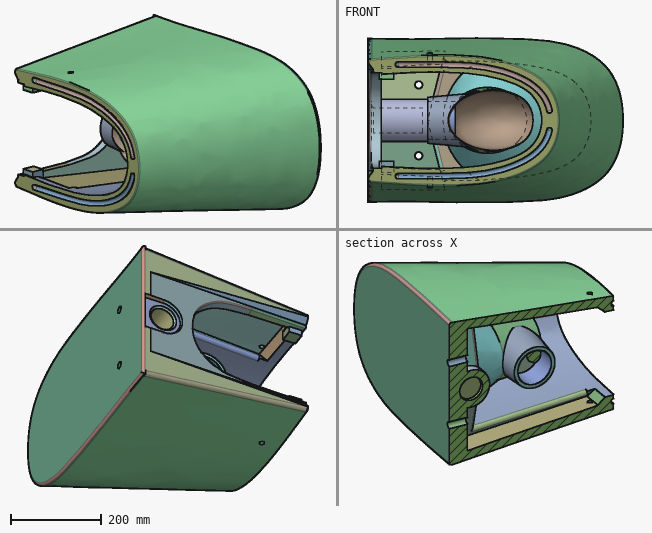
import cadquery as cq
import math


HEIGHT = 412.0
LENGTH = 564.7
HALF_WIDTH = 363.77 / 2
RIM_BAND = 8.0
RIM_ROUND = 6.0
FOOT_ROUND = 3.0
BACK_EDGE_ROUND = 9.0
SIDE_SWELL = 0.35
FOOT_LENGTH = 422.6
FOOT_HALF_WIDTH = 144.4
FOOT_HALF_OUTLINE = [(0, 136), (140, FOOT_HALF_WIDTH), (212, 143.5), (341, 116.5), (400, 74), (FOOT_LENGTH, 0)]
TOP_HALF_OUTLINE = [(0, 181), (190, HALF_WIDTH - SIDE_SWELL), (341, 180), (449, 165), (529, 116), (LENGTH, 0)]

LIP_WIDTH = 38.0
LIP_HEIGHT = 22.0
LIP_SLOPE_TOP = 40.0
GROOVE_INSET = 21.0
GROOVE_RADIUS = 6.0
GROOVE_START_X = 67.0
GROOVE_END_GAP = 22.0

FRONT_WALL = 42.0
REAR_WALL = 24.0
BACK_WALL = 30.0
FRONT_CHAMBER_TOP = 321.0
REAR_CHAMBER_TOP = 366.0
STEP_X = 132.0
STEP_SLOPE = 0.25
STEP_ROUND = 8.0
STEP_EDGE_LOW_Z = 110.0
STEP_EDGE_HIGH_Z = 130.0

OPENING_HALF_WIDTH = 105.5
OPENING_STRAIGHT_TOP = 136.0
OPENING_TOP = 285.0
OPENING_CURVE = [(183, 102), (219, 94), (247, 78), (270, 55)]
OPENING_ROUND = 3.0
RELIEF_TOP = 392.0
RELIEF_DEPTH = 12.0
RELIEF_HALF_WIDTH = 112.0
RELIEF_FLARE = 16.0
INLET_Y = 357.0
INLET_RADIUS = 28.0
INLET_MOUTH_RADIUS = 33.0
INLET_MOUTH_CHAMFER = 4.0
INLET_DEPTH = 120.0
INLET_PIPE_RADIUS = 47.0
INLET_POCKET_HALF_WIDTH = 46.5
INLET_POCKET_TAPER = 27.0
INLET_POCKET_TOP = 405.0
INLET_POCKET_DEPTH = 8.0

OUTLET_X = 133.0
OUTLET_Y = 187.0
OUTLET_BORE_RADIUS = 42.0
OUTLET_BORE_DEPTH = 60.0
OUTLET_RADIUS = 51.0
PIPE_END_RADIUS = 65.0
PIPE_END_X = 285.0
SUMP_CENTRE = (280.0, 118.0, 0.0)
SUMP_RADII = (103.0, 110.0, 67.0)
NECK_X = 265.0
NECK_Y = 240.0
NECK_FIT = 0.97
NECK_RADII = (86.0, 73.0)
BOWL_X = 332.0
BOWL_RADII = (166.0, 155.0)

SEAT_HOLE_X = 112.6
SEAT_HOLE_Z = 78.3
SEAT_HOLE_DIAMETER = 16.0
SIDE_HOLE_X = 137.5
SIDE_HOLE_Y = 46.0
SIDE_HOLE_DIAMETER = 11.0
TAB_START_X = 25.0
TAB_LENGTH = 32.0
TAB_INNER_Z = 91.0
TAB_OUTER_Z = 115.0
TAB_BOTTOM = 4.0
TAB_TOP = 35.0

OVERLAP = 1.0
SIDES = (1, -1)


def level(y):
    """Horizontal plane at height y, with local axes X and Z."""
    return cq.Workplane("XZ", origin=(0, y, 0))


def half_outline(y, inset=0.0):
    """Half outline of the shell at height y, shrunk by the inset at the front and the sides."""
    t = min(y / (HEIGHT - RIM_BAND), 1.0)
    points = []
    for foot, top in zip(FOOT_HALF_OUTLINE, TOP_HALF_OUTLINE):
        points.append((foot[0] + t * (top[0] - foot[0]), foot[1] + t * (top[1] - foot[1])))
    length_scale = 1 - inset / points[-1][0]
    width_scale = 1 - inset / max(z for _, z in points)
    return [(x * length_scale, z * width_scale) for x, z in points]


def outline(y, inset=0.0):
    """Closed D-shaped outline at height y."""
    half = half_outline(y, inset)
    mirrored = [(x, -z) for x, z in reversed(half[:-1])]
    path = half + mirrored
    return level(y).moveTo(*path[0]).spline(path[1:], includeCurrent=True).close().wire().val()


def outline_loft(bottom, top, bottom_inset=0.0, top_inset=0.0):
    wires = [outline(bottom, bottom_inset), outline(top, top_inset)]
    return cq.Workplane(obj=cq.Solid.makeLoft(wires, True))


def outer_shell():
    band_bottom = HEIGHT - RIM_BAND
    rim = outline_loft(band_bottom, HEIGHT).faces(">Y").edges().fillet(RIM_ROUND)
    body = outline_loft(0, band_bottom)
    corners = body.edges(cq.selectors.BoxSelector((-1, 1, -200), (1, band_bottom - 1, 200)))
    body = corners.fillet(BACK_EDGE_ROUND)
    return body.faces("<Y").edges().fillet(FOOT_ROUND).union(rim)


def behind_step():
    """Prism covering the space between the back wall and the V-shaped step."""
    reach = HALF_WIDTH
    edge_x = STEP_X + STEP_SLOPE * reach
    points = [(BACK_WALL, reach), (edge_x, reach), (STEP_X, 0), (edge_x, -reach), (BACK_WALL, -reach)]
    return level(0).polyline(points).close().extrude(-HEIGHT)


def in_front_of_back_wall():
    return cq.Workplane().box(LENGTH, HEIGHT, 2 * HALF_WIDTH, centered=(False, False, True)).translate(
        (BACK_WALL, 0, 0)
    )


def step_zone(low_z, high_z, top):
    """Selects edges along the step whose centres lie below the top and between two Z values."""
    reach = STEP_X + STEP_SLOPE * HALF_WIDTH
    low = (STEP_X - OVERLAP, LIP_SLOPE_TOP + 2 * STEP_ROUND, low_z)
    high = (reach, top, high_z)
    return cq.selectors.BoxSelector(low, high)


def chambers():
    """Hollow under the pan: a front chamber and a wider, taller rear one with a rounded step between."""
    mouth_and_front = outline_loft(0, FRONT_CHAMBER_TOP, LIP_WIDTH, FRONT_WALL).intersect(in_front_of_back_wall())
    slope = outline_loft(LIP_HEIGHT, LIP_SLOPE_TOP, LIP_WIDTH, REAR_WALL)
    rear = outline_loft(LIP_SLOPE_TOP, REAR_CHAMBER_TOP, REAR_WALL, REAR_WALL)
    both = mouth_and_front.union(rear.intersect(behind_step()))
    ceiling_edges = both.edges(step_zone(-HALF_WIDTH, HALF_WIDTH, FRONT_CHAMBER_TOP + OVERLAP)).edges("%LINE")
    both = ceiling_edges.fillet(STEP_ROUND)
    wall_top = FRONT_CHAMBER_TOP - 2 * STEP_ROUND
    wall_edges = both.edges(step_zone(STEP_EDGE_LOW_Z, STEP_EDGE_HIGH_Z, wall_top))
    wall_edges = wall_edges.add(both.edges(step_zone(-STEP_EDGE_HIGH_Z, -STEP_EDGE_LOW_Z, wall_top)))
    both = wall_edges.fillet(STEP_ROUND)
    return both.union(slope.intersect(behind_step()))


def ellipse_at(x, y, radii):
    return level(y).center(x, 0).ellipse(*radii).wire().val()


def inlet_pipe():
    return cq.Workplane("YZ").center(INLET_Y, 0).circle(INLET_PIPE_RADIUS).extrude(OUTLET_X)


def outlet_pipe():
    length = PIPE_END_X - OUTLET_X
    start = cq.Vector(OUTLET_X, OUTLET_Y, 0)
    cone = cq.Solid.makeCone(OUTLET_RADIUS, PIPE_END_RADIUS, length, start, cq.Vector(1, 0, 0))
    return cq.Workplane(obj=cone)


def sump():
    """Ellipsoid at the bottom of the trap."""
    stretch = cq.Matrix([[SUMP_RADII[0], 0, 0, 0], [0, SUMP_RADII[1], 0, 0], [0, 0, SUMP_RADII[2], 0]])
    ellipsoid = cq.Workplane().sphere(1).val().transformGeometry(stretch)
    return cq.Workplane(obj=ellipsoid).translate(SUMP_CENTRE)


def bowl():
    """Underside of the bowl, flaring from the sump through the neck to the chamber ceiling."""
    sump_x, sump_y, _ = SUMP_CENTRE
    sump_ring = ellipse_at(sump_x, sump_y, (NECK_FIT * SUMP_RADII[0], NECK_FIT * SUMP_RADII[2]))
    neck_ring = ellipse_at(NECK_X, NECK_Y, NECK_RADII)
    top_ring = ellipse_at(BOWL_X, FRONT_CHAMBER_TOP + OVERLAP, BOWL_RADII)
    neck = cq.Solid.makeLoft([sump_ring, neck_ring], True)
    flare = cq.Solid.makeLoft([neck_ring, top_ring], True)
    return cq.Workplane(obj=neck).union(cq.Workplane(obj=flare))


def rear_opening():
    """Arch through the back wall, open at the floor."""
    upper = [(OPENING_STRAIGHT_TOP, OPENING_HALF_WIDTH)] + OPENING_CURVE
    lower = [(y, -z) for y, z in reversed(upper)]
    arch = upper[1:] + [(OPENING_TOP, 0)] + lower
    return (
        cq.Workplane("YZ", origin=(-OVERLAP, 0, 0))
        .moveTo(-OVERLAP, OPENING_HALF_WIDTH)
        .lineTo(*upper[0])
        .spline(arch, includeCurrent=True)
        .lineTo(-OVERLAP, -OPENING_HALF_WIDTH)
        .close()
        .extrude(BACK_WALL + 2 * OVERLAP)
    )


def wall_relief():
    """Shallow wedge in the back face, deepest at the floor, with flared sides."""
    outer_half = RELIEF_HALF_WIDTH + RELIEF_FLARE
    floor_points = [
        (0, outer_half),
        (RELIEF_DEPTH, RELIEF_HALF_WIDTH),
        (RELIEF_DEPTH, -RELIEF_HALF_WIDTH),
        (0, -outer_half),
    ]
    shrink = 0.01
    top_points = []
    for x, z in floor_points:
        top_points.append((x * shrink, math.copysign(RELIEF_HALF_WIDTH + (abs(z) - RELIEF_HALF_WIDTH) * shrink, z)))
    floor_wire = level(0).polyline(floor_points).close().wire().val()
    top_wire = level(RELIEF_TOP).polyline(top_points).close().wire().val()
    return cq.Workplane(obj=cq.Solid.makeLoft([floor_wire, top_wire], True))


def opening_rim():
    """Selects the outer edges of the rear opening, on the relief floor."""
    half = OPENING_HALF_WIDTH + OVERLAP
    low = (2 * OVERLAP, -OVERLAP, -half)
    high = (RELIEF_DEPTH + OVERLAP / 2, OPENING_TOP + OVERLAP, half)
    return cq.selectors.BoxSelector(low, high)


def flush_inlet():
    back = cq.Workplane("YZ")
    half = INLET_POCKET_HALF_WIDTH
    pocket = (
        back.moveTo(INLET_POCKET_TOP, half)
        .lineTo(INLET_Y, half)
        .threePointArc((INLET_Y - half, 0), (INLET_Y, -half))
        .lineTo(INLET_POCKET_TOP, -half)
        .close()
        .extrude(INLET_POCKET_DEPTH, taper=INLET_POCKET_TAPER)
    )
    pipe = back.center(INLET_Y, 0).circle(INLET_RADIUS).extrude(INLET_DEPTH)
    mouth = cq.Solid.makeCone(
        INLET_MOUTH_RADIUS,
        INLET_RADIUS,
        INLET_MOUTH_CHAMFER,
        cq.Vector(INLET_POCKET_DEPTH, INLET_Y, 0),
        cq.Vector(1, 0, 0),
    )
    return pocket.union(pipe).union(cq.Workplane(obj=mouth))


def outlet_bore():
    back = cq.Workplane("YZ", origin=(OUTLET_X, OUTLET_Y, 0))
    return back.circle(OUTLET_BORE_RADIUS).extrude(OUTLET_BORE_DEPTH)


def lip_groove(side):
    """Pieces of a round-bottomed groove with ball ends along one side of the floor lip."""
    half = half_outline(0, GROOVE_INSET)
    tip_x = half[-1][0]
    start = (GROOVE_START_X, half[1][1])
    end = (tip_x, GROOVE_END_GAP)
    points = [(x, side * z) for x, z in [start] + half[2:-1] + [end]]
    path = level(0).spline(points)
    curve = path.val()
    profile_plane = cq.Plane(origin=curve.startPoint(), xDir=(0, 1, 0), normal=curve.tangentAt(0))
    groove = [cq.Workplane(profile_plane).circle(GROOVE_RADIUS).sweep(path)]
    for x, z in (points[0], points[-1]):
        groove.append(cq.Workplane().sphere(GROOVE_RADIUS).translate((x, 0, z)))
    return groove


def floor_tab(side):
    width = TAB_OUTER_Z - TAB_INNER_Z
    middle = side * (TAB_OUTER_Z + TAB_INNER_Z) / 2
    tab = cq.Workplane().box(TAB_LENGTH, TAB_TOP - TAB_BOTTOM, width, centered=(False, False, True))
    return tab.translate((TAB_START_X, TAB_BOTTOM, middle))


def seat_holes():
    spots = [(SEAT_HOLE_X, side * SEAT_HOLE_Z) for side in SIDES]
    return level(0).pushPoints(spots).circle(SEAT_HOLE_DIAMETER / 2).extrude(-HEIGHT)


def side_holes():
    hole = cq.Workplane("XY").center(SIDE_HOLE_X, SIDE_HOLE_Y).circle(SIDE_HOLE_DIAMETER / 2)
    return hole.extrude(HALF_WIDTH, both=True)


def build_pan():
    shell = outer_shell()
    inside = outlet_pipe().union(sump()).union(bowl()).union(inlet_pipe()).intersect(shell)
    pan = shell.cut(chambers()).cut(rear_opening()).union(inside)
    pan = pan.cut(wall_relief())
    pan = pan.edges(opening_rim()).edges("not(%LINE)").fillet(OPENING_ROUND)
    pan = pan.cut(flush_inlet()).cut(outlet_bore())
    pan = pan.cut(seat_holes(), clean=False).cut(side_holes(), clean=False)
    for side in SIDES:
        pan = pan.union(floor_tab(side))
        for piece in lip_groove(side):
            pan = pan.cut(piece)
    return pan


result = build_pan()